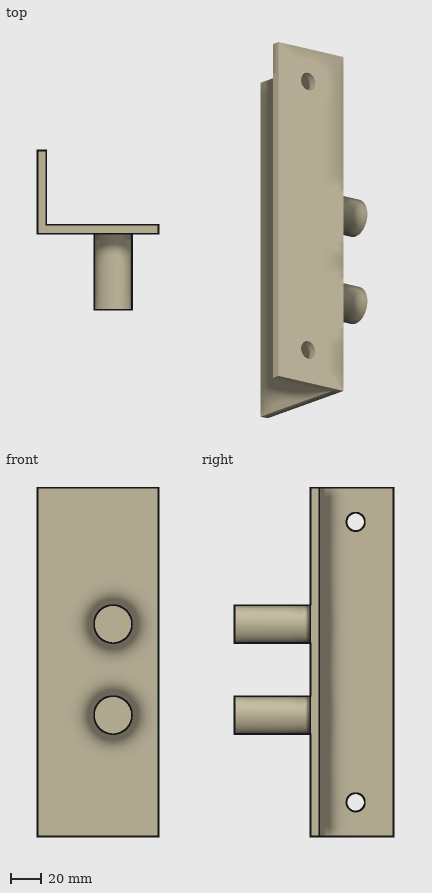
import cadquery as cq

height = 230.0
flange_width = 80.0
flange_depth = 55.0
thickness = 6.0

overall_depth = 105.0
pin_diameter = 25.0
pin_length = overall_depth - flange_depth
pin_x = 50.0
lower_pin_z = 80.0
pin_spacing = 60.0
pin_heights = [lower_pin_z, lower_pin_z + pin_spacing]

hole_diameter = 12.0
hole_back_distance = 25.0
hole_end_distance = 22.5
hole_y = flange_depth - hole_back_distance
hole_heights = [hole_end_distance, height - hole_end_distance]


def make_bracket():
    """L-section angle with two holes through its mounting flange."""
    angle = (
        cq.Workplane("XY")
        .moveTo(0, 0)
        .lineTo(flange_width, 0)
        .lineTo(flange_width, thickness)
        .lineTo(thickness, thickness)
        .lineTo(thickness, flange_depth)
        .lineTo(0, flange_depth)
        .close()
        .extrude(height)
    )
    holes = (
        cq.Workplane("YZ")
        .pushPoints([(hole_y, z) for z in hole_heights])
        .circle(hole_diameter / 2)
        .extrude(thickness)
    )
    return angle.cut(holes)


def make_pin(z):
    """Plain round pin seated on the front face and pointing toward -Y."""
    return (
        cq.Workplane("XZ")
        .center(pin_x, z)
        .circle(pin_diameter / 2)
        .extrude(pin_length)
    )


bracket = make_bracket()
pins = [make_pin(z) for z in pin_heights]

result = cq.Compound.makeCompound([bracket.val(), *[pin.val() for pin in pins]])